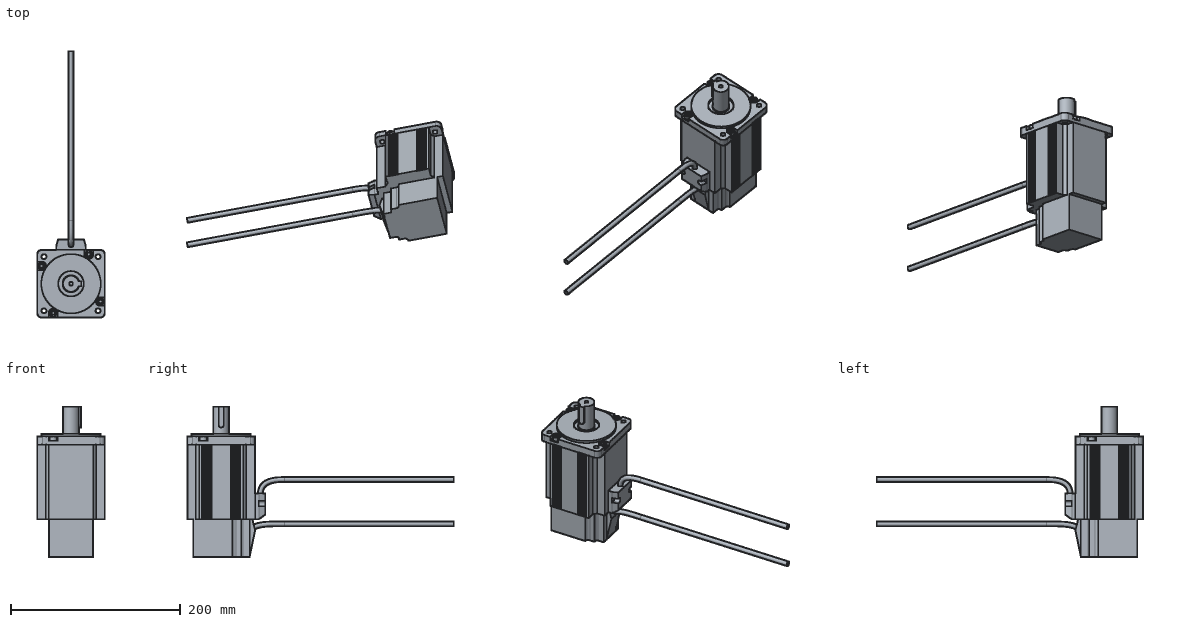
import cadquery as cq
import math


flange_size = 80.0
flange_thickness = 9.5
flange_corner_radius = 6.0
body_length = 88.0
encoder_length = 44.5
total_depth_below_face = flange_thickness + body_length + encoder_length
half_size = flange_size / 2
body_bottom = -(flange_thickness + body_length)
motor_bottom = -total_depth_below_face

pilot_diameter = 70.0
pilot_height = 3.0
seal_recess_diameter = 30.0
seal_recess_depth = 2.5
shaft_diameter = 19.0
shaft_top = 35.0
shaft_collar_diameter = 20.0
shaft_collar_height = 1.0
shaft_hole_diameter = 4.5
shaft_hole_depth = 15.0
key_width = 6.0
key_bottom = 10.5
key_outer_x = 12.0
key_seat_depth = 3.5

mount_spacing = 63.64
mount_hole_diameter = 5.5

screw_x = 20.9
screw_y = 34.6
screw_head_diameter = 8.3
hexagon_sides = 6
screw_socket_width = 4.0
screw_socket_depth = 2.5
screw_pocket_width = 10.5
screw_pocket_depth = 5.0

body_inset = 0.1
body_size = flange_size - 2 * body_inset
body_half_size = body_size / 2
face_half_width = 26.0
corner_step = 29.8
groove_pitch = 1.0
groove_width = 0.5
groove_depth = 0.5
groove_count = 12
groove_first_y = 11.5

cover_front_y = -33.0
cover_back_y = 33.5
cover_half_width = 26.0
cover_mid_half_width = 22.0
cover_back_half_width = 17.5
cover_first_cove_radius = cover_half_width - cover_mid_half_width
cover_first_cove_y = 13.2
cover_second_cove_radius = 2.0
cover_second_cove_y = 23.6
outlet_half_width = 10.5
outlet_peak_y = 40.0
outlet_peak_z = -111.0
outlet_top_y = 37.0

connector_top = -67.0
connector_step_y = 44.5
connector_back_y = 52.2
connector_base_half_width = 17.6
connector_back_half_width = 15.2
connector_chamfer_bottom = -92.0
connector_slot_z = -79.0
connector_slot_width = 6.4
connector_slot_center_x = 13.5

cable_diameter = 6.0
cable_end_y = 273.91
cable_straight_y = 74.5
power_cable_z = -50.7
power_cable_exit_y = 46.0
encoder_cable_z = -103.0
encoder_cable_exit_y = 37.0
encoder_cable_exit_z = -107.5
encoder_cable_exit_slope = 30.0
cable_embedment = 2.0


def slab(width, depth, bottom, top):
    """Box centred on the Z axis between two heights."""
    return cq.Workplane("XY").workplane(offset=bottom).rect(width, depth).extrude(top - bottom)


def make_flange():
    flange = slab(flange_size, flange_size, -flange_thickness, 0)
    flange = flange.edges("|Z").fillet(flange_corner_radius)
    pilot = cq.Workplane("XY").circle(pilot_diameter / 2).extrude(pilot_height)
    flange = flange.union(pilot)
    holes = (
        cq.Workplane("XY")
        .rect(mount_spacing, mount_spacing, forConstruction=True)
        .vertices()
        .circle(mount_hole_diameter / 2)
        .extrude(-flange_thickness)
    )
    recess = (
        cq.Workplane("XY")
        .workplane(offset=pilot_height)
        .circle(seal_recess_diameter / 2)
        .extrude(-seal_recess_depth)
    )
    flange = flange.cut(holes).cut(recess)
    pocket = make_screw_pocket()
    screw = make_screw()
    for quarter in range(4):
        angle = 90 * quarter
        flange = flange.cut(pocket.rotate((0, 0, 0), (0, 0, 1), angle))
        flange = flange.union(screw.rotate((0, 0, 0), (0, 0, 1), angle))
    return flange


def make_screw_pocket():
    """Round-ended pocket open to the +Y edge of the flange."""
    round_end = (
        cq.Workplane("XY")
        .center(screw_x, screw_y)
        .circle(screw_pocket_width / 2)
        .extrude(-screw_pocket_depth)
    )
    open_length = half_size - screw_y
    opening = (
        cq.Workplane("XY")
        .center(screw_x, screw_y + open_length / 2)
        .rect(screw_pocket_width, open_length)
        .extrude(-screw_pocket_depth)
    )
    return round_end.union(opening)


def make_screw():
    """Socket screw head standing on the pocket floor, level with the flange face."""
    socket_diameter = screw_socket_width / math.cos(math.pi / hexagon_sides)
    axis = cq.Workplane("XY").center(screw_x, screw_y)
    head = axis.circle(screw_head_diameter / 2).extrude(-screw_pocket_depth)
    socket = axis.polygon(hexagon_sides, socket_diameter).extrude(-screw_socket_depth)
    return head.cut(socket)


def make_shaft():
    shaft_bottom = pilot_height - seal_recess_depth
    shaft = (
        cq.Workplane("XY")
        .workplane(offset=shaft_bottom)
        .circle(shaft_diameter / 2)
        .extrude(shaft_top - shaft_bottom)
    )
    key_radius = key_width / 2
    key = (
        cq.Workplane("YZ")
        .workplane(offset=key_outer_x - key_seat_depth)
        .moveTo(-key_radius, shaft_top)
        .lineTo(-key_radius, key_bottom + key_radius)
        .threePointArc((0, key_bottom), (key_radius, key_bottom + key_radius))
        .lineTo(key_radius, shaft_top)
        .close()
        .extrude(key_seat_depth)
    )
    collar = (
        cq.Workplane("XY")
        .workplane(offset=shaft_bottom)
        .circle(shaft_collar_diameter / 2)
        .extrude(shaft_collar_height)
    )
    hole = (
        cq.Workplane("XY")
        .workplane(offset=shaft_top)
        .circle(shaft_hole_diameter / 2)
        .extrude(-shaft_hole_depth)
    )
    return shaft.union(key).union(collar).cut(hole)


def make_body():
    """Square body with a stepped, chamfered recess along each corner and grooved X sides."""
    body = slab(body_size, body_size, body_bottom, -flange_thickness)
    corner_recess = (
        cq.Workplane("XY")
        .workplane(offset=body_bottom)
        .moveTo(face_half_width, half_size)
        .lineTo(face_half_width, corner_step)
        .lineTo(corner_step, face_half_width)
        .lineTo(half_size, face_half_width)
        .lineTo(half_size, half_size)
        .close()
        .extrude(body_length)
    )
    for quarter in range(4):
        body = body.cut(corner_recess.rotate((0, 0, 0), (0, 0, 1), 90 * quarter))
    return body.cut(make_grooves())


def make_grooves():
    groove_points = []
    for index in range(groove_count):
        groove_y = groove_first_y + index * groove_pitch
        for side_x in (-body_half_size, body_half_size):
            groove_points.append((side_x, groove_y))
            groove_points.append((side_x, -groove_y))
    return (
        cq.Workplane("XY")
        .workplane(offset=body_bottom)
        .pushPoints(groove_points)
        .rect(2 * groove_depth, groove_width)
        .extrude(body_length)
    )


def make_encoder_cover():
    """Cover that narrows towards +Y through two coves, with a cable outlet behind it."""
    second_cove_start_x = cover_back_half_width + cover_second_cove_radius
    half_cover = (
        cq.Workplane("XY")
        .workplane(offset=motor_bottom)
        .moveTo(0, cover_front_y)
        .lineTo(cover_half_width, cover_front_y)
        .lineTo(cover_half_width, cover_first_cove_y)
        .threePointArc(*cove_points(cover_half_width, cover_first_cove_y, cover_first_cove_radius))
        .lineTo(cover_mid_half_width, cover_second_cove_y)
        .lineTo(second_cove_start_x, cover_second_cove_y)
        .threePointArc(*cove_points(second_cove_start_x, cover_second_cove_y, cover_second_cove_radius))
        .lineTo(cover_back_half_width, cover_back_y)
        .lineTo(0, cover_back_y)
        .close()
        .extrude(encoder_length)
    )
    outlet = (
        cq.Workplane("YZ")
        .moveTo(cover_back_y, motor_bottom)
        .lineTo(outlet_peak_y, outlet_peak_z)
        .lineTo(outlet_top_y, body_bottom)
        .lineTo(cover_back_y, body_bottom)
        .close()
        .extrude(outlet_half_width, both=True)
    )
    return half_cover.union(half_cover.mirror("YZ")).union(outlet)


def cove_points(start_x, start_y, radius):
    """Middle and end of a quarter-round hollow that runs inwards and towards +Y."""
    diagonal = radius * math.sqrt(0.5)
    middle = (start_x - diagonal, start_y + radius - diagonal)
    end = (start_x - radius, start_y + radius)
    return middle, end


def make_connector():
    """Tapered housing with a round-bottomed screw slot in each side."""
    connector = (
        cq.Workplane("XY")
        .workplane(offset=body_bottom)
        .moveTo(-connector_base_half_width, body_half_size)
        .lineTo(-connector_base_half_width, connector_step_y)
        .lineTo(-connector_back_half_width, connector_back_y)
        .lineTo(connector_back_half_width, connector_back_y)
        .lineTo(connector_base_half_width, connector_step_y)
        .lineTo(connector_base_half_width, body_half_size)
        .close()
        .extrude(connector_top - body_bottom)
    )
    bottom_chamfer = (
        cq.Workplane("YZ")
        .moveTo(connector_step_y, body_bottom)
        .lineTo(connector_back_y, body_bottom)
        .lineTo(connector_back_y, connector_chamfer_bottom)
        .close()
        .extrude(connector_base_half_width, both=True)
    )
    connector = connector.cut(bottom_chamfer)
    slot_depth = connector_back_y - connector_step_y
    slot_length = 2 * (connector_base_half_width - connector_slot_center_x) + connector_slot_width
    slots = (
        cq.Workplane("XZ", origin=(0, connector_back_y, connector_slot_z))
        .pushPoints([(-connector_base_half_width, 0), (connector_base_half_width, 0)])
        .slot2D(slot_length, connector_slot_width)
        .extrude(slot_depth)
    )
    return connector.cut(slots)


def make_cable(exit_y, exit_z, exit_direction, cable_z):
    """Round cable that leaves the motor in the given direction and bends to run along +Y."""
    start = cq.Vector(0, exit_y, exit_z)
    bend_end = cq.Vector(0, cable_straight_y, cable_z)
    bend = cq.Edge.makeSpline([start, bend_end], [exit_direction, cq.Vector(0, 1, 0)])
    straight = cq.Edge.makeLine(bend_end, cq.Vector(0, cable_end_y, cable_z))
    path = cq.Workplane(cq.Wire.assembleEdges([bend, straight]))
    section_plane = cq.Plane(origin=start, xDir=(1, 0, 0), normal=exit_direction)
    return cq.Workplane(section_plane).circle(cable_diameter / 2).sweep(path)


def make_cables():
    power_cable = make_cable(
        power_cable_exit_y, connector_top - cable_embedment, cq.Vector(0, 0, 1), power_cable_z
    )
    exit_slope = math.radians(encoder_cable_exit_slope)
    encoder_cable = make_cable(
        encoder_cable_exit_y,
        encoder_cable_exit_z,
        cq.Vector(0, math.cos(exit_slope), math.sin(exit_slope)),
        encoder_cable_z,
    )
    return power_cable.union(encoder_cable)


result = (
    make_flange()
    .union(make_shaft())
    .union(make_body())
    .union(make_encoder_cover())
    .union(make_connector())
    .union(make_cables())
)